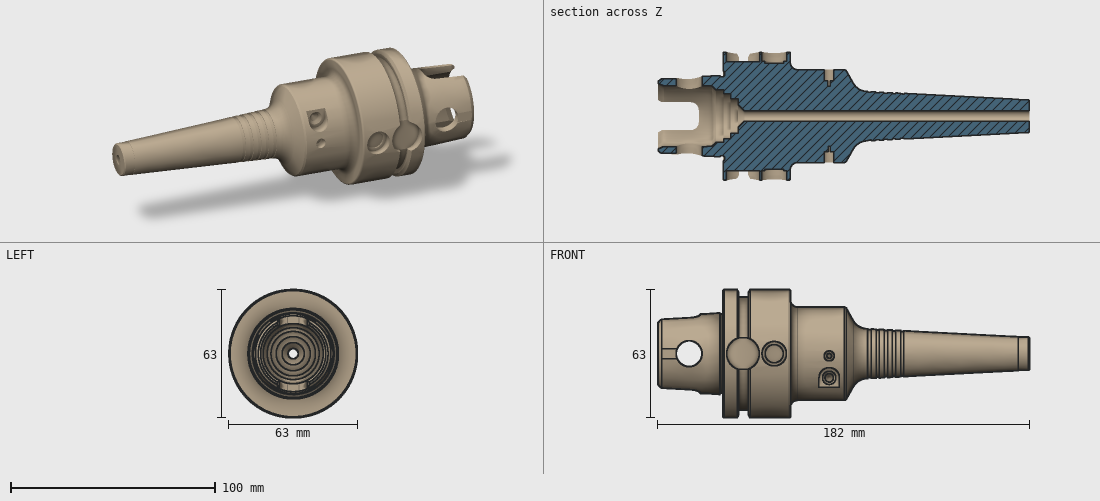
import cadquery as cq
import math

LENGTH = 182.0
FLANGE_R = 31.5

SHANK_END_R = 18.5
SHANK_BASE_R = 20.0
SHANK_BASE_X = 30.2
SHANK_CHAMFER_X = 2.0
SHANK_CHAMFER_R = 1.5
NECK_R = 19.5
NECK_FILLET = 1.0
FACE_GROOVE_R = 22.2
FACE_GROOVE_DEPTH = 0.7

FLANGE_X = 31.8
FLANGE_END_X = 65.0
FLANGE_FRONT_CHAMFER = 0.5
FLANGE_REAR_ROUND = 1.0
GROOVE_START_X = 38.8
GROOVE_END_X = 45.1
GROOVE_FLOOR_R = 27.8
GROOVE_BEVEL_X = 1.0
GROOVE_BEVEL_R = 1.6

BODY_R = 23.0
BODY_FILLET = 3.3
BODY_END_X = 91.4
BODY_CHAMFER_X = 1.0
BODY_CHAMFER_R = 0.5
CONE_END_X = 95.7
CONE_END_R = 16.2

NOSE_START_X = 102.0
NOSE_TAPER_END_X = 176.5
NOSE_TAPER_END_R = 8.4
TIP_R = 8.2
TIP_CHAMFER = 0.5
NOSE_ANGLE = 3.0
RING_COUNT = 5
RING_START_X = 102.8
RING_PITCH = 4.0
RING_WIDTH = 1.6
RING_DEPTH = 0.4

BORE_MOUTH_R = 16.0
BORE_CHAMFER_X = 3.0
BORE_R = 14.7
BORE_END_X = 26.4
BORE_BEVEL = 2.0
STEP_R = (BORE_R - BORE_BEVEL, 11.0, 8.4)
STEP_LENGTH = 3.6
COUNTERSINK_R = 5.5
COOLANT_D = 5.0
COOLANT_R = COOLANT_D / 2

SLOT_WIDTH = 13.6
SLOT_END_X = 20.0
SLOT_CORNER_R = 4.0
SLOT_CHAMFER = 1.0
SLOT_MOUTH_FLARE = 1.1
SLOT_EDGE_MIN_Z = 16.4

CROSS_HOLE_X = 15.3
CROSS_HOLE_D = 12.5
FLAT_WIDTH = 5.0
FLAT_Y = SHANK_END_R - 0.2

DIMPLE_X = 41.7
DIMPLE_D = 16.0
DIMPLE_FLOOR_Y = 26.8
PORT_X = 57.0
PORT_D = 12.0
PORT_FLOOR_Y = 27.0
PORT_INNER_D = 9.0
PORT_INNER_DEPTH = 1.0

SIDE_X = 83.9
BALANCE_POCKET_D = 10.0
BALANCE_Z = -11.8
BALANCE_FLOOR_Y = 16.0
BALANCE_HOLE_D = 4.2
BALANCE_CHAMFER_D = 6.5
BALANCE_HOLE_DEPTH = 2.7
SMALL_HOLE_D = 5.0
SMALL_HOLE_Z = -1.1
SMALL_HOLE_DEPTH = 5.5
SMALL_PILOT_D = 2.4
SMALL_PILOT_DEPTH = 2.7


def nose_radius(x):
    return NOSE_TAPER_END_R + (NOSE_TAPER_END_X - x) * math.tan(math.radians(NOSE_ANGLE))


def revolve_about_x(outline):
    return outline.close().revolve(360, (0, 0, 0), (1, 0, 0))


def hole_along_y(x, z, diameter, floor_y):
    """Cylinder entering from the -Y side down to a floor at y = -floor_y."""
    start = cq.Workplane("XZ", origin=(x, 0, z)).workplane(offset=floor_y)
    return start.circle(diameter / 2).extrude(FLANGE_R)


def opposite(shape):
    return shape.rotate((0, 0, 0), (1, 0, 0), 180)


def solid_body():
    face_floor_x = FLANGE_X + FACE_GROOVE_DEPTH
    outline = (
        cq.Workplane("XY")
        .lineTo(0, SHANK_END_R - SHANK_CHAMFER_R)
        .lineTo(SHANK_CHAMFER_X, SHANK_END_R)
        .lineTo(SHANK_BASE_X, SHANK_BASE_R)
        .lineTo(SHANK_BASE_X + (SHANK_BASE_R - NECK_R), NECK_R)
        .lineTo(face_floor_x - NECK_FILLET, NECK_R)
        .radiusArc((face_floor_x, NECK_R + NECK_FILLET), -NECK_FILLET)
        .lineTo(face_floor_x, FACE_GROOVE_R - FACE_GROOVE_DEPTH)
        .lineTo(FLANGE_X, FACE_GROOVE_R)
        .lineTo(FLANGE_X, FLANGE_R - FLANGE_FRONT_CHAMFER)
        .lineTo(FLANGE_X + FLANGE_FRONT_CHAMFER, FLANGE_R)
        .lineTo(GROOVE_START_X, FLANGE_R)
        .lineTo(GROOVE_START_X + GROOVE_BEVEL_X, FLANGE_R - GROOVE_BEVEL_R)
        .lineTo(GROOVE_START_X + GROOVE_BEVEL_X, GROOVE_FLOOR_R)
        .lineTo(GROOVE_END_X - GROOVE_BEVEL_X, GROOVE_FLOOR_R)
        .lineTo(GROOVE_END_X - GROOVE_BEVEL_X, FLANGE_R - GROOVE_BEVEL_R)
        .lineTo(GROOVE_END_X, FLANGE_R)
        .lineTo(FLANGE_END_X - FLANGE_REAR_ROUND, FLANGE_R)
        .radiusArc((FLANGE_END_X, FLANGE_R - FLANGE_REAR_ROUND), FLANGE_REAR_ROUND)
        .lineTo(FLANGE_END_X, BODY_R + BODY_FILLET)
        .radiusArc((FLANGE_END_X + BODY_FILLET, BODY_R), -BODY_FILLET)
        .lineTo(BODY_END_X, BODY_R)
        .lineTo(BODY_END_X + BODY_CHAMFER_X, BODY_R - BODY_CHAMFER_R)
        .lineTo(CONE_END_X, CONE_END_R)
        .tangentArcPoint((NOSE_START_X, nose_radius(NOSE_START_X)), relative=False)
        .lineTo(NOSE_TAPER_END_X, NOSE_TAPER_END_R)
        .lineTo(NOSE_TAPER_END_X, TIP_R)
        .lineTo(LENGTH - TIP_CHAMFER, TIP_R)
        .lineTo(LENGTH, TIP_R - TIP_CHAMFER)
        .lineTo(LENGTH, 0)
    )
    return revolve_about_x(outline)


def nose_grooves():
    outer_r = nose_radius(NOSE_START_X) + RING_DEPTH
    grooves = cq.Workplane("XY")
    for index in range(RING_COUNT):
        start = RING_START_X + index * RING_PITCH
        end = start + RING_WIDTH
        outline = (
            cq.Workplane("XY")
            .moveTo(start, nose_radius(start) - RING_DEPTH)
            .lineTo(start, outer_r)
            .lineTo(end, outer_r)
            .lineTo(end, nose_radius(end) - RING_DEPTH)
        )
        grooves = grooves.add(revolve_about_x(outline))
    return grooves.combine()


def stepped_bore():
    outline = (
        cq.Workplane("XY")
        .lineTo(0, BORE_MOUTH_R)
        .lineTo(BORE_CHAMFER_X, BORE_R)
        .lineTo(BORE_END_X, BORE_R)
    )
    x = BORE_END_X + BORE_BEVEL
    for radius in STEP_R:
        outline = outline.lineTo(x, radius)
        x += STEP_LENGTH
        outline = outline.lineTo(x, radius)
    outline = (
        outline.lineTo(x, COUNTERSINK_R)
        .lineTo(x + COUNTERSINK_R - COOLANT_R, COOLANT_R)
        .lineTo(LENGTH, COOLANT_R)
        .lineTo(LENGTH, 0)
    )
    return revolve_about_x(outline)


def cut_drive_slots(body):
    """Cut the slot across both sides of the shank, chamfer its outer edges and flare its mouth."""
    slot = (
        cq.Workplane("XY")
        .rect(2 * SLOT_END_X, SLOT_WIDTH)
        .extrude(FLANGE_R, both=True)
        .edges("|Z and >X")
        .fillet(SLOT_CORNER_R)
    )
    slotted = body.cut(slot)
    mouth = (
        cq.Workplane("XY")
        .moveTo(0, SLOT_WIDTH / 2 + SLOT_MOUTH_FLARE)
        .lineTo(SHANK_CHAMFER_X, SLOT_WIDTH / 2)
        .lineTo(SHANK_CHAMFER_X, -SLOT_WIDTH / 2)
        .lineTo(0, -SLOT_WIDTH / 2 - SLOT_MOUTH_FLARE)
        .close()
        .extrude(FLANGE_R, both=True)
    )
    for side in (1, -1):
        low, high = sorted((side * SLOT_EDGE_MIN_Z, side * FLANGE_R))
        region = cq.selectors.BoxSelector(
            (SHANK_CHAMFER_X, -SLOT_WIDTH / 2 - SLOT_CHAMFER, low),
            (SLOT_END_X + SLOT_CHAMFER, SLOT_WIDTH / 2 + SLOT_CHAMFER, high),
        )
        slotted = slotted.edges(region).chamfer(SLOT_CHAMFER)
    return slotted.cut(mouth)


def guide_flat():
    return (
        cq.Workplane("XZ")
        .workplane(offset=FLAT_Y)
        .center(CROSS_HOLE_X / 2, 0)
        .rect(CROSS_HOLE_X, FLAT_WIDTH)
        .extrude(SHANK_BASE_R - FLAT_Y)
    )


def flange_recesses():
    dimple = hole_along_y(DIMPLE_X, 0, DIMPLE_D, DIMPLE_FLOOR_Y)
    port = hole_along_y(PORT_X, 0, PORT_D, PORT_FLOOR_Y)
    inner = hole_along_y(PORT_X, 0, PORT_INNER_D, PORT_FLOOR_Y - PORT_INNER_DEPTH)
    return [dimple, port, inner]


def small_holes():
    floor_y = BODY_R - SMALL_HOLE_DEPTH
    hole = hole_along_y(SIDE_X, SMALL_HOLE_Z, SMALL_HOLE_D, floor_y)
    pilot = hole_along_y(SIDE_X, SMALL_HOLE_Z, SMALL_PILOT_D, floor_y - SMALL_PILOT_DEPTH)
    return [hole, pilot]


def balance_pocket():
    """U-shaped pocket running out of the body, with a pointed screw hole in its floor."""
    round_end = hole_along_y(SIDE_X, BALANCE_Z, BALANCE_POCKET_D, BALANCE_FLOOR_Y)
    run_out = (
        cq.Workplane("XZ")
        .workplane(offset=BALANCE_FLOOR_Y)
        .center(SIDE_X, BALANCE_Z - BODY_R / 2)
        .rect(BALANCE_POCKET_D, BODY_R)
        .extrude(BODY_R)
    )
    hole_r = BALANCE_HOLE_D / 2
    chamfer_r = BALANCE_CHAMFER_D / 2
    screw_hole = (
        cq.Workplane("XY", origin=(SIDE_X, -BALANCE_FLOOR_Y, BALANCE_Z))
        .lineTo(chamfer_r, 0)
        .lineTo(hole_r, chamfer_r - hole_r)
        .lineTo(hole_r, BALANCE_HOLE_DEPTH)
        .lineTo(0, BALANCE_HOLE_DEPTH + hole_r)
        .close()
        .revolve(360, (0, 0, 0), (0, 1, 0))
    )
    return round_end.union(run_out).union(screw_hole)


result = cut_drive_slots(solid_body().cut(stepped_bore())).cut(nose_grooves())

cross_hole = hole_along_y(CROSS_HOLE_X, 0, CROSS_HOLE_D, 0)
side_features = [cross_hole, guide_flat(), balance_pocket()] + flange_recesses() + small_holes()
for feature in side_features:
    result = result.cut(feature).cut(opposite(feature))